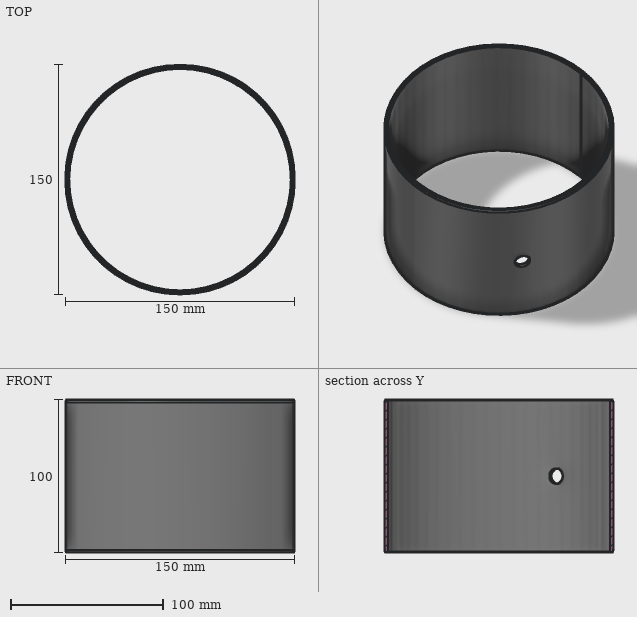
import cadquery as cq

outer_diameter = 150.0
length = 100.0
wall = 2.5
outer_chamfer_length = 1.8
outer_chamfer_depth = 0.8
inner_chamfer = 0.6
slit_width = 1.0
slit_center_y = 0.6
oil_hole_diameter = 10.0
oil_hole_angle = 59.0

outer_radius = outer_diameter / 2
inner_radius = outer_radius - wall
half_length = length / 2


def make_sleeve():
    """Revolve the wall section, with both ends chamfered, about Z."""
    section = [
        (inner_radius, -half_length + inner_chamfer),
        (inner_radius + inner_chamfer, -half_length),
        (outer_radius - outer_chamfer_depth, -half_length),
        (outer_radius, -half_length + outer_chamfer_length),
        (outer_radius, half_length - outer_chamfer_length),
        (outer_radius - outer_chamfer_depth, half_length),
        (inner_radius + inner_chamfer, half_length),
        (inner_radius, half_length - inner_chamfer),
    ]
    return cq.Workplane("XZ").polyline(section).close().revolve(360, (0, 0, 0), (0, 1, 0))


def make_slit():
    """Full-length cut through the wall on the -X side."""
    return (
        cq.Workplane("XY")
        .box(outer_radius, slit_width, length)
        .translate((-outer_radius, slit_center_y, 0))
    )


def make_oil_hole():
    """Radial hole through one side of the wall at mid-length."""
    return (
        cq.Workplane("YZ")
        .circle(oil_hole_diameter / 2)
        .extrude(outer_diameter)
        .rotate((0, 0, 0), (0, 0, 1), oil_hole_angle)
    )


result = make_sleeve().cut(make_slit()).cut(make_oil_hole())